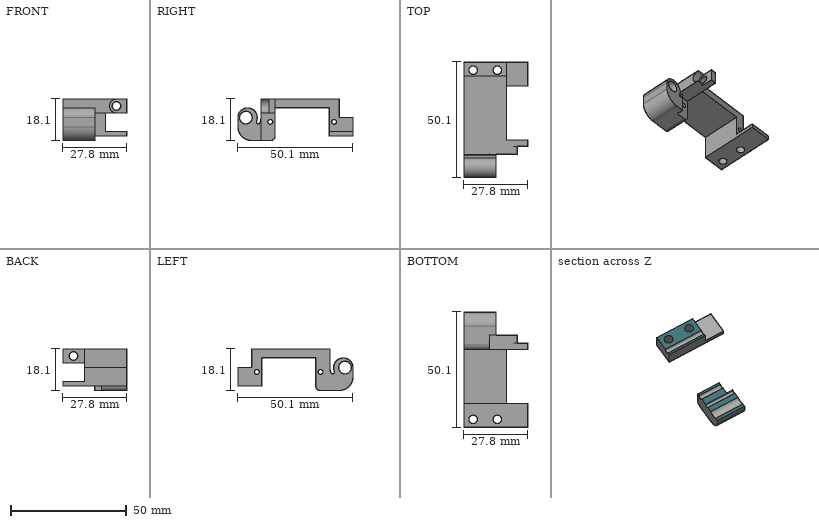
import cadquery as cq
import math


total_width = 27.8
total_length = 50.06
total_height = 18.13
overcut = 1.0

hinge_reach = 10.0
hinge_width = 14.0
barrel_radius = 4.25
barrel_height = 10.0
hinge_bore_diameter = 5.4
hinge_bore_inset = 3.5
hinge_corner_radius = 6.0
slot_width = 1.5
slot_end_angle = math.radians(22.5)

front_leg_depth = 6.25
front_leg_width = 11.0
leg_corner_radius = 2.0

plate_thickness = 3.9
plate_width = 18.5
plate_back_inset = 6.0

arm_height = 6.13
arm_hole_x = 23.25
arm_front_width = arm_hole_x
screw_diameter = 3.6
counterbore_diameter = 6.1
counterbore_depth = 3.5

back_block_depth = 10.4
back_block_bottom = 2.0
back_block_top = 10.13
tab_thickness = 2.0
back_hole_xs = (4.0, 14.5)
back_hole_inset = 3.5

pin_diameter = 2.0
pin_wall_offset = 2.15
pin_height = 8.13

hinge_front = -hinge_reach
back_face = total_length - hinge_reach
back_block_front = back_face - back_block_depth
plate_back = back_face - plate_back_inset
barrel_y = hinge_front + barrel_radius
arm_bottom = total_height - arm_height
arm_hole_z = total_height - arm_height / 2


def box(x_range, y_range, z_range):
    """Return an axis-aligned block spanning the given ranges."""
    size = [high - low for low, high in (x_range, y_range, z_range)]
    corner = (x_range[0], y_range[0], z_range[0])
    return cq.Workplane("XY").box(*size, centered=False).translate(corner)


def rod_along_x(y, z, diameter, length):
    """Return a cylinder that starts at X = 0 and runs along +X."""
    return cq.Workplane("YZ").center(y, z).circle(diameter / 2).extrude(length)


def rod_along_y(x, z, diameter, y_start, y_end):
    """Return a cylinder parallel to Y between two Y positions."""
    rod = cq.Workplane("XZ", origin=(x, y_start, z)).circle(diameter / 2)
    return rod.extrude(y_start - y_end)


def around_barrel(radius, angle):
    """Return the (Y, Z) point at an angle below the +Y direction, seen from the barrel centre."""
    return (barrel_y + radius * math.cos(angle), barrel_height - radius * math.sin(angle))


def make_hinge():
    """Barrel on a solid foot, parted from the front face by a slot concentric with the barrel."""
    slot_outer = barrel_radius + slot_width
    slot_middle = barrel_radius + slot_width / 2
    half_angle = slot_end_angle / 2
    cap_angle = slot_end_angle + slot_width / 2 / slot_middle
    corner_centre_y = hinge_front + hinge_corner_radius
    corner_rise = hinge_corner_radius * (1 - math.sqrt(0.5))
    profile = (
        cq.Workplane("YZ")
        .moveTo(0, 0)
        .lineTo(0, barrel_height)
        .threePointArc(around_barrel(slot_outer, half_angle), around_barrel(slot_outer, slot_end_angle))
        .threePointArc(around_barrel(slot_middle, cap_angle), around_barrel(barrel_radius, slot_end_angle))
        .threePointArc((barrel_y, barrel_height + barrel_radius), (hinge_front, barrel_height))
        .lineTo(hinge_front, hinge_corner_radius)
        .threePointArc((hinge_front + corner_rise, corner_rise), (corner_centre_y, 0))
        .close()
    )
    bore = rod_along_x(hinge_front + hinge_bore_inset, barrel_height, hinge_bore_diameter, hinge_width)
    return profile.extrude(hinge_width).cut(bore)


def make_front_leg():
    """Front leg with its lower back edge rounded."""
    leg = box((0, front_leg_width), (0, front_leg_depth), (0, total_height))
    return leg.edges("|X and >Y and <Z").fillet(leg_corner_radius)


def make_top_plate():
    """Flat plate joining the front leg to the back block."""
    return box((0, plate_width), (0, plate_back), (total_height - plate_thickness, total_height))


def make_front_arm():
    """Arm whose front is cut back beside a counterbored screw hole."""
    arm = box((0, total_width), (0, front_leg_depth), (arm_bottom, total_height))
    side_step = box(
        (arm_front_width, total_width + overcut),
        (-overcut, counterbore_depth),
        (arm_bottom - overcut, total_height + overcut),
    )
    counterbore = rod_along_y(arm_hole_x, arm_hole_z, counterbore_diameter, 0, counterbore_depth)
    screw_hole = rod_along_y(arm_hole_x, arm_hole_z, screw_diameter, 0, front_leg_depth)
    return arm.cut(side_step).cut(counterbore).cut(screw_hole)


def make_back_block():
    """Back leg and ledge with two vertical screw holes and a thin tab on the +X side."""
    y_range = (back_block_front, back_face)
    ledge = box((0, plate_width), y_range, (back_block_bottom, back_block_top))
    leg = box((0, plate_width), (back_block_front, plate_back), (back_block_bottom, total_height))
    tab = box((0, total_width), y_range, (back_block_bottom, back_block_bottom + tab_thickness))
    screw_holes = (
        cq.Workplane("XY", origin=(0, 0, back_block_bottom))
        .pushPoints([(x, back_face - back_hole_inset) for x in back_hole_xs])
        .circle(screw_diameter / 2)
        .extrude(back_block_top - back_block_bottom)
    )
    return ledge.union(leg).union(tab).cut(screw_holes)


result = make_top_plate()
for piece in (make_front_leg(), make_front_arm(), make_hinge(), make_back_block()):
    result = result.union(piece)

for pin_y in (front_leg_depth - pin_wall_offset, back_block_front + pin_wall_offset):
    result = result.cut(rod_along_x(pin_y, pin_height, pin_diameter, plate_width))